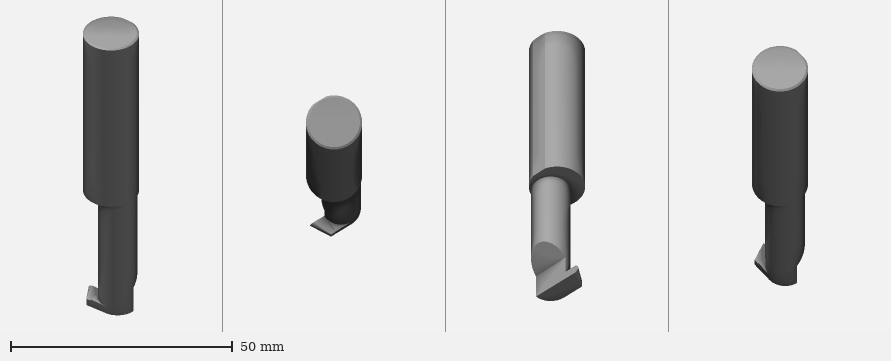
import cadquery as cq
import math

total_length = 76.16
shank_diameter = 12.7
shank_length = 44.45
shank_flat_depth = 0.25
chamfer_radial = 0.5
chamfer_axial = 0.25

neck_diameter = 8.94
neck_back_top_z = 11.1
neck_back_angle = 43.0

nose_radius = 1.12
nose_land = 0.02
heel_corner_radius = 0.04
heel_x = -3.6
flank_relief = 0.18
back_taper_angle = 1.75
ledge_start_x = -2.4
ledge_top_z = 2.35

shank_radius = shank_diameter / 2
neck_radius = neck_diameter / 2
neck_x = shank_radius - neck_radius
shank_bottom_z = total_length - shank_length
taper = math.tan(math.radians(back_taper_angle))
head_height = 2 * nose_radius + nose_land
nose_center_x = nose_radius - shank_radius


def make_shank():
    """Round shank with a chamfered top rim and a shallow flat along its +Y side."""
    profile = [
        (0, shank_bottom_z),
        (shank_radius, shank_bottom_z),
        (shank_radius, total_length - chamfer_axial),
        (shank_radius - chamfer_radial, total_length),
        (0, total_length),
    ]
    shank = cq.Workplane("XZ").polyline(profile).close().revolve(360, (0, 0), (0, 1))
    flat_cutter = cq.Workplane("XY").box(
        shank_diameter, shank_diameter, total_length, centered=(True, False, False)
    )
    return shank.cut(flat_cutter.translate((0, shank_radius - shank_flat_depth, 0)))


def make_neck():
    """Round neck, cut back to its -Y half at the tip with a sloped run-out above the cut."""
    neck = cq.Workplane("XY").center(neck_x, 0).circle(neck_radius).extrude(shank_bottom_z)
    run_out_drop = neck_radius * math.tan(math.radians(neck_back_angle))
    relief = (
        cq.Workplane("YZ")
        .moveTo(0, 0)
        .lineTo(neck_radius, 0)
        .lineTo(neck_radius, neck_back_top_z)
        .lineTo(0, neck_back_top_z - run_out_drop)
        .close()
        .extrude(shank_diameter, both=True)
    )
    return neck.cut(relief)


def head_section(y, end_x, bottom_z, top_z, radius):
    """Closed XZ outline of the head at one Y, with two rounded corners at its -X end."""
    arc_x = end_x + radius
    inset = radius * (1 - math.sqrt(0.5))
    back_rise = (neck_x - arc_x) * taper
    return (
        cq.Workplane("XZ", origin=(0, y, 0))
        .moveTo(neck_x, bottom_z + back_rise)
        .lineTo(arc_x, bottom_z)
        .threePointArc((end_x + inset, bottom_z + inset), (end_x, bottom_z + radius))
        .lineTo(end_x, top_z - radius)
        .threePointArc((end_x + inset, top_z - inset), (arc_x, top_z))
        .lineTo(neck_x, top_z - back_rise)
        .close()
        .val()
    )


def make_head():
    """Head with a full-round nose on the cutting face that runs out to square corners at its heel."""
    heel_rise = flank_relief + (heel_x + heel_corner_radius - nose_center_x) * taper
    nose = head_section(0, -shank_radius, 0, head_height, nose_radius)
    heel = head_section(-neck_radius, heel_x, heel_rise, head_height - heel_rise, heel_corner_radius)
    return cq.Workplane(cq.Solid.makeLoft([nose, heel], True))


def make_ledge():
    """Step on top of the head that fills the corner between the head and the neck."""
    return cq.Workplane("XY").box(
        neck_x - ledge_start_x, neck_radius, ledge_top_z - nose_radius, centered=False
    ).translate((ledge_start_x, -neck_radius, nose_radius))


def trim_bottom(body):
    """Cut the neck's end to the plane of the head's lower flank, rising toward +X and -Y."""
    lower_flank = cq.Plane(
        origin=(nose_center_x, 0, 0),
        xDir=(1, 0, taper),
        normal=(-taper, flank_relief / neck_radius, 1),
    )
    cutter_width = 4 * shank_diameter
    cutter = cq.Workplane(lower_flank).rect(cutter_width, cutter_width).extrude(-shank_diameter)
    return body.cut(cutter)


result = trim_bottom(make_neck().union(make_ledge())).union(make_head()).union(make_shank()).clean()